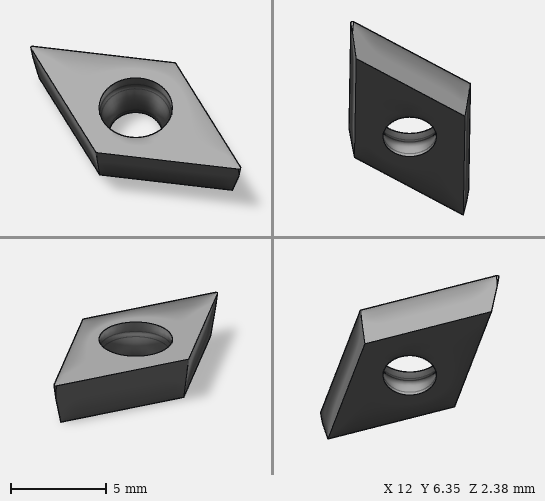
import cadquery as cq
import math

inscribed_circle = 6.35
thickness = 2.38
nose_angle = 55.0
clearance_angle = 7.0
nose_radius = 0.097

mouth_radius = 1.925
wall_foot_radius = 1.9
wall_depth = 0.55
seat_radius = 1.81
seat_depth = 0.81
bore_radius = 2.8 / 2
bore_start_depth = 2.16


def top_outline():
    """Rhombus with two sides along X and all four corners rounded."""
    half_width = inscribed_circle / 2
    half_angle_tangent = math.tan(math.radians(nose_angle / 2))
    acute_x = half_width / half_angle_tangent
    obtuse_x = half_width * half_angle_tangent
    corners = [
        (-acute_x, -half_width),
        (obtuse_x, -half_width),
        (acute_x, half_width),
        (-obtuse_x, half_width),
        (-acute_x, -half_width),
    ]
    return cq.Sketch().polygon(corners).vertices().fillet(nose_radius)


def tapered_body():
    """Insert blank; the clearance shrinks the rounded corners to sharp edges partway down."""
    return cq.Workplane("XY").placeSketch(top_outline()).extrude(-thickness, taper=clearance_angle)


def screw_hole():
    """Through hole with a steep mouth, a concave blend, and a convex seat tangent to the bore."""
    seat_height = bore_start_depth - seat_depth
    seat_width = seat_radius - bore_radius
    seat_turn = 2 * math.atan(seat_width / seat_height)
    seat_arc_radius = seat_height / math.sin(seat_turn)
    seat_middle = (
        bore_radius + seat_arc_radius * (1 - math.cos(seat_turn / 2)),
        -bore_start_depth + seat_arc_radius * math.sin(seat_turn / 2),
    )
    return (
        cq.Workplane("XZ")
        .moveTo(0, 0)
        .lineTo(mouth_radius, 0)
        .lineTo(wall_foot_radius, -wall_depth)
        .tangentArcPoint((seat_radius, -seat_depth), relative=False)
        .threePointArc(seat_middle, (bore_radius, -bore_start_depth))
        .lineTo(bore_radius, -thickness)
        .lineTo(0, -thickness)
        .close()
        .revolve(360, (0, 0, 0), (0, 1, 0))
    )


result = tapered_body().cut(screw_hole())